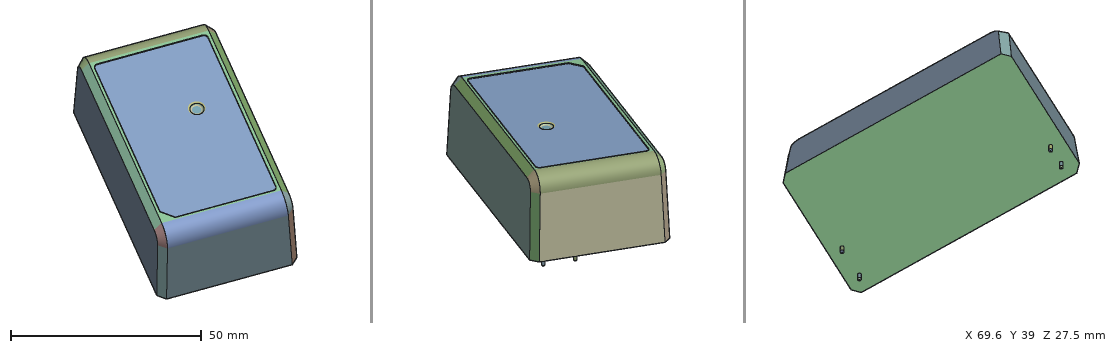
import cadquery as cq
import math

LENGTH = 69.6
WIDTH = 39.0
TOTAL_HEIGHT = 27.5
HOUSING_HEIGHT = 24.0
END_DRAFT = 3.4
SIDE_DRAFT = 2.0
END_RADIUS = 5.0
EDGE_CHAMFER = 2.0

LABEL_LENGTH = 55.7
LABEL_WIDTH = 31.45
LABEL_CORNER_RADIUS = 1.1
LABEL_KEY_CHAMFER = 3.1
LABEL_THICKNESS = 0.2
LABEL_SETBACK = 0.15
POCKET_DEPTH = LABEL_THICKNESS + LABEL_SETBACK
POCKET_FLOOR = HOUSING_HEIGHT - POCKET_DEPTH
LABEL_TOP = HOUSING_HEIGHT - LABEL_SETBACK

RECESS_X = -5.0
RECESS_Y = 5.0
RECESS_RADIUS = 2.3
RECESS_FLOOR_RADIUS = 1.25
RECESS_ROUNDING = 0.5
RECESS_WALL_SLOPE = 45

PIN_RADIUS = 0.5
PIN_LENGTH = TOTAL_HEIGHT - HOUSING_HEIGHT
PIN_TIP_CHAMFER = 0.4
PIN_X = 30.75
OUTER_ROW_Y = 14.95
MIDDLE_ROW_Y = 9.5
INNER_ROW_Y = 6.05
PIN_POSITIONS = [
    (-PIN_X, OUTER_ROW_Y),
    (-PIN_X, INNER_ROW_Y),
    (PIN_X, OUTER_ROW_Y),
    (PIN_X, MIDDLE_ROW_Y),
]


def make_block():
    """Drafted block with rounded ends and a bevel around each side wall."""
    top_length = LENGTH - 2 * HOUSING_HEIGHT * math.tan(math.radians(END_DRAFT))
    top_width = WIDTH - 2 * HOUSING_HEIGHT * math.tan(math.radians(SIDE_DRAFT))
    block = (
        cq.Workplane("XY")
        .rect(LENGTH, WIDTH)
        .workplane(offset=HOUSING_HEIGHT)
        .rect(top_length, top_width)
        .loft(ruled=True)
    )
    block = block.faces(">Z").edges("|Y").fillet(END_RADIUS)
    side_outlines = block.faces("<Y or >Y").edges("not <Z")
    return side_outlines.chamfer(EDGE_CHAMFER)


def make_label_plate(bottom_z, thickness):
    """Plate in the label outline: three round corners and one bevelled corner."""
    plate = (
        cq.Workplane("XY", origin=(0, 0, bottom_z))
        .rect(LABEL_LENGTH, LABEL_WIDTH)
        .extrude(thickness)
    )
    plate = plate.edges("|Z and (<X or >Y)").fillet(LABEL_CORNER_RADIUS)
    return plate.faces(">X").edges("|Z and <Y").chamfer(LABEL_KEY_CHAMFER)


def make_recess_cutter():
    """Revolved cutter: rounded lip, sloping wall and rounded corner down to a flat floor."""
    slope = math.radians(RECESS_WALL_SLOPE)
    arc_width = RECESS_ROUNDING * math.sin(slope)
    arc_drop = RECESS_ROUNDING * (1 - math.cos(slope))
    half_arc_width = RECESS_ROUNDING * math.sin(slope / 2)
    half_arc_drop = RECESS_ROUNDING * (1 - math.cos(slope / 2))

    wall_top_radius = RECESS_RADIUS - arc_width
    wall_bottom_radius = RECESS_FLOOR_RADIUS + arc_width
    wall_drop = (wall_top_radius - wall_bottom_radius) * math.tan(slope)
    depth = 2 * arc_drop + wall_drop

    profile = (
        cq.Workplane("XZ", origin=(RECESS_X, RECESS_Y, LABEL_TOP))
        .moveTo(0, 0)
        .lineTo(RECESS_RADIUS, 0)
        .threePointArc((RECESS_RADIUS - half_arc_width, -half_arc_drop), (wall_top_radius, -arc_drop))
        .lineTo(wall_bottom_radius, arc_drop - depth)
        .threePointArc(
            (RECESS_FLOOR_RADIUS + half_arc_width, half_arc_drop - depth),
            (RECESS_FLOOR_RADIUS, -depth),
        )
        .lineTo(0, -depth)
        .close()
    )
    return profile.revolve(360, (0, 0, 0), (0, 1, 0))


def make_pin(x, y):
    """Round pin hanging from the underside, with a bevelled tip."""
    pin = cq.Workplane("XY", origin=(x, y, 0)).circle(PIN_RADIUS).extrude(-PIN_LENGTH)
    return pin.faces("<Z").chamfer(PIN_TIP_CHAMFER)


recess_cutter = make_recess_cutter()
housing = make_block().cut(make_label_plate(POCKET_FLOOR, POCKET_DEPTH)).cut(recess_cutter)
label = make_label_plate(POCKET_FLOOR, LABEL_THICKNESS).cut(recess_cutter)
pins = [make_pin(x, y) for x, y in PIN_POSITIONS]

result = cq.Compound.makeCompound([housing.val(), label.val(), *[pin.val() for pin in pins]])